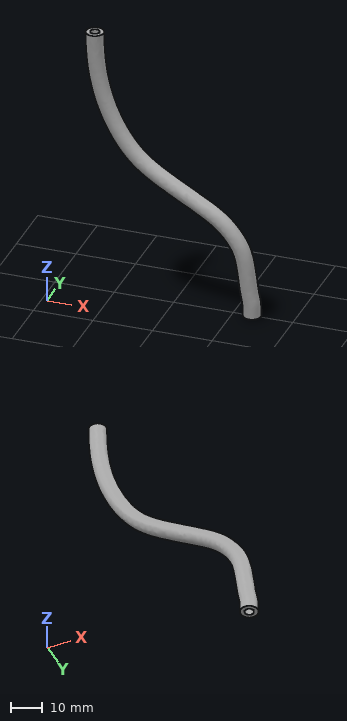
import cadquery as cq

outer_diameter = 6.0
bore_diameter = outer_diameter / 2
height = 92.45
sideways_offset = 52.8

down = (0, -1)
top_end = (0, height)
bottom_end = (sideways_offset, 0)

upper_bend = [(2.0, 73.4), (8.4, 57.8), (14.5, 49.9)]
sloping_run = [(23.6, 43.3), (36.1, 36.1)]
lower_bend = [(43.2, 31.1), (46.2, 27.7), (48.6, 24.0), (50.9, 15.4), (52.2, 6.6)]

centreline = (
    cq.Workplane("XZ")
    .moveTo(*top_end)
    .spline(
        upper_bend + sloping_run + lower_bend + [bottom_end],
        tangents=[down, down],
        includeCurrent=True,
    )
)

result = (
    cq.Workplane("XY", origin=(0, 0, height))
    .circle(outer_diameter / 2)
    .circle(bore_diameter / 2)
    .sweep(centreline)
)